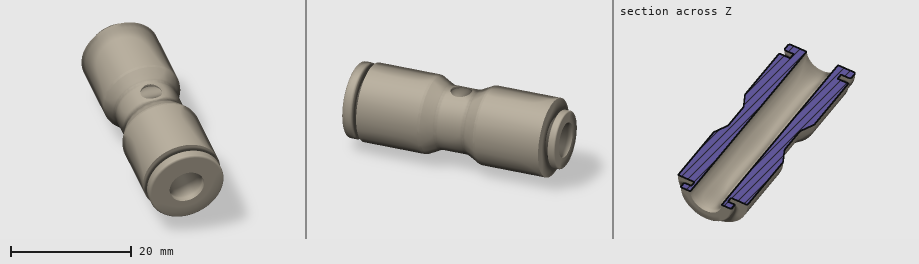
import cadquery as cq

total_length = 37.57
bore_radius = 3.0

body_diameter = 13.5
body_radius = body_diameter / 2
body_left = 2.18
body_right = 34.85

waist_radius = 5.5
waist_left = 16.25
waist_right = 21.23
taper_length = 2.5
taper_blend = 1.0

left_flange_radius = 4.95
left_flange_width = 1.28
left_stem_radius = 3.57
left_flange_round = 0.23

right_flange_radius = 6.5
right_flange_width = 1.7
right_stem_radius = 4.62
right_flange_round = 0.35

selection_margin = 0.05

badge_radius = 1.8
badge_depth = 0.5


def cylinder(start, length, radius):
    """Solid cylinder on the X axis, beginning at X = start."""
    return cq.Workplane("YZ").workplane(offset=start).circle(radius).extrude(length)


def make_body():
    """Two barrels joined by a narrower waist with blended tapers."""
    outline = [
        (body_left, 0),
        (body_left, body_radius),
        (waist_left - taper_length, body_radius),
        (waist_left, waist_radius),
        (waist_right, waist_radius),
        (waist_right + taper_length, body_radius),
        (body_right, body_radius),
        (body_right, 0),
    ]
    body = cq.Workplane("XY").polyline(outline).close().revolve(360, (0, 0, 0), (1, 0, 0))
    for taper_end in (
        waist_left - taper_length,
        waist_left,
        waist_right,
        waist_right + taper_length,
    ):
        edge_zone = cq.selectors.BoxSelector(
            (taper_end - selection_margin, -body_radius, -body_radius),
            (taper_end + selection_margin, body_radius, body_radius),
        )
        body = body.edges(edge_zone).edges("%CIRCLE").fillet(taper_blend)
    return body


def make_flange(start, width, radius, rounding):
    """Disc with both rims rounded."""
    return cylinder(start, width, radius).edges("%CIRCLE").fillet(rounding)


def make_badge_recess():
    """Flat-floored round recess in the top of the waist."""
    middle = (waist_left + waist_right) / 2
    floor = waist_radius - badge_depth
    return (
        cq.Workplane("XY")
        .workplane(offset=floor)
        .center(middle, 0)
        .circle(badge_radius)
        .extrude(body_radius - floor)
    )


left_flange = make_flange(0, left_flange_width, left_flange_radius, left_flange_round)
left_stem = cylinder(left_flange_width, body_left - left_flange_width, left_stem_radius)

right_flange_start = total_length - right_flange_width
right_flange = make_flange(
    right_flange_start, right_flange_width, right_flange_radius, right_flange_round
)
right_stem = cylinder(body_right, right_flange_start - body_right, right_stem_radius)

result = (
    make_body()
    .union(left_stem)
    .union(left_flange)
    .union(right_stem)
    .union(right_flange)
    .cut(make_badge_recess())
    .cut(cylinder(0, total_length, bore_radius))
)